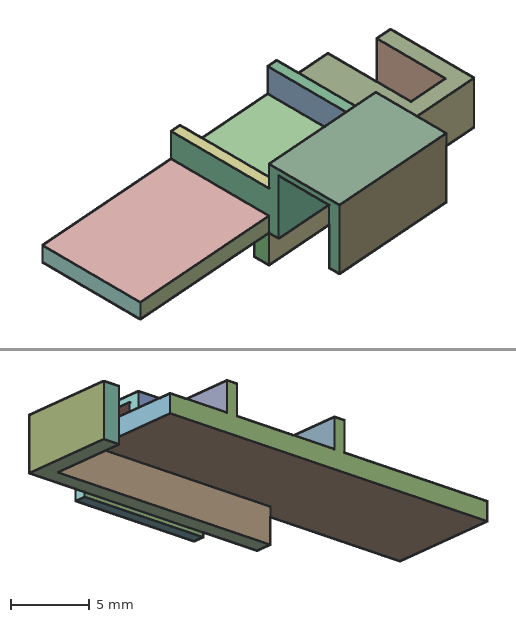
import cadquery as cq

plate_width = 8.55
plate_length = 26.75
plate_thickness = 1.4

overall_length = 31.27
keel_depth = 2.65
keel_thickness = 1.3
keel_start_y = 12.05
lip_reach = 7.3
lip_thickness = 1.3

rib_height = 2.25
rib_thickness = 0.85
rib_pair_span = 9.9

overall_width = 14.7
overall_height = 8.3
clip_length = 10.0
clip_inner_wall = 0.85
clip_outer_wall = 0.9
clip_roof = 0.5

plate_top_z = keel_depth + plate_thickness


def box(x_range, y_range, z_range):
    """Axis-aligned box given by its (low, high) limits on each axis."""
    size = [high - low for low, high in (x_range, y_range, z_range)]
    corner = (x_range[0], y_range[0], z_range[0])
    return cq.Workplane("XY").box(*size, centered=False).translate(corner)


def make_plate():
    return box((0, plate_width), (0, plate_length), (keel_depth, plate_top_z))


def make_keel():
    """Wall under the plate, full height beyond its end, with the lip turned in at the far end."""
    wall_x = (plate_width - keel_thickness, plate_width)
    under_plate = box(wall_x, (keel_start_y, overall_length), (0, keel_depth))
    beyond_plate = box(wall_x, (plate_length, overall_length), (0, plate_top_z))
    lip = box(
        (plate_width - lip_reach, plate_width),
        (overall_length - lip_thickness, overall_length),
        (0, plate_top_z),
    )
    return under_plate.union(beyond_plate).union(lip)


def make_rib(start_y):
    return box(
        (0, plate_width),
        (start_y, start_y + rib_thickness),
        (keel_depth, plate_top_z + rib_height),
    )


def make_clip():
    clip_y = (keel_start_y, keel_start_y + clip_length)
    outer = box((plate_width, overall_width), clip_y, (keel_depth, overall_height))
    channel = box(
        (plate_width + clip_inner_wall, overall_width - clip_outer_wall),
        clip_y,
        (keel_depth, overall_height - clip_roof),
    )
    return outer.cut(channel)


result = make_plate().union(make_keel()).union(make_clip())
last_rib_y = keel_start_y + rib_pair_span - rib_thickness
for rib_y in (keel_start_y, last_rib_y):
    result = result.union(make_rib(rib_y))